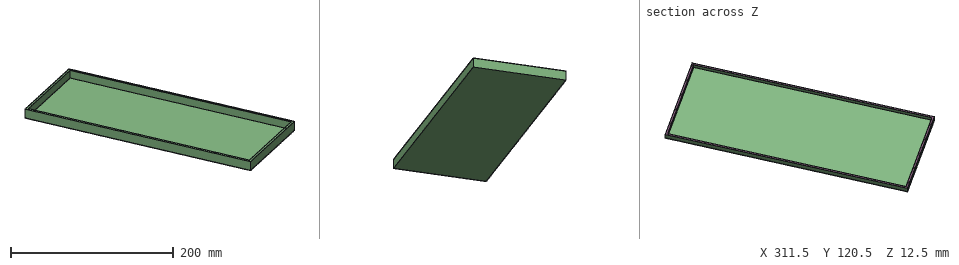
import cadquery as cq

length = 311.5
width = 120.5
height = 12.5
wall = 3.0
floor = 2.0

block = cq.Workplane("XY").box(length, width, height, centered=(True, True, False))

pocket = (
    cq.Workplane("XY")
    .workplane(offset=floor)
    .rect(length - 2 * wall, width - 2 * wall)
    .extrude(height - floor)
)

result = block.cut(pocket)